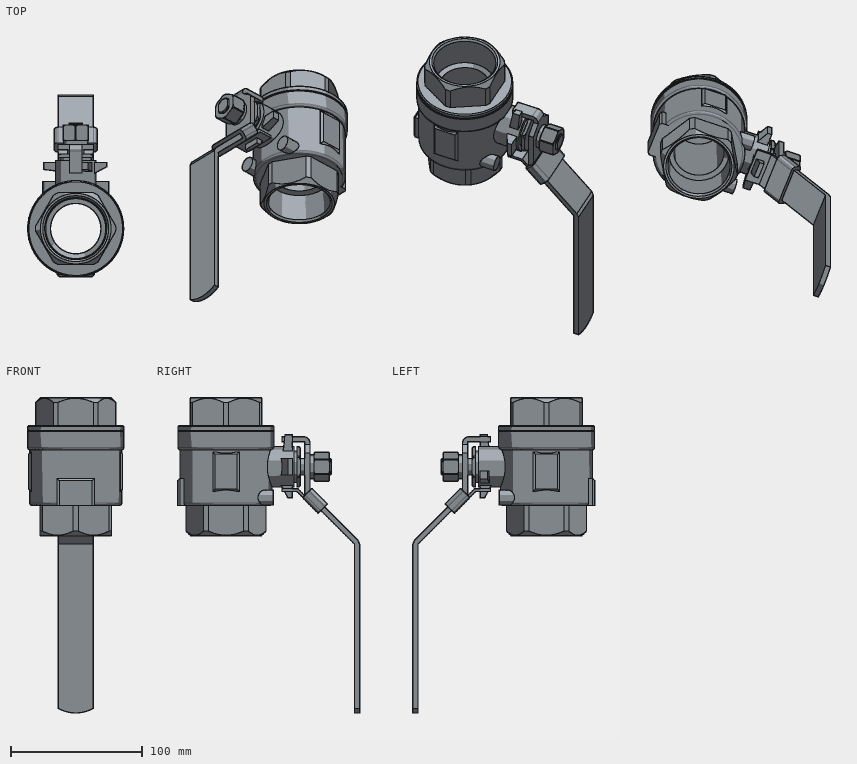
import cadquery as cq
import math


half_length = 52.5
flange_dia = 73.0
flange_top = 31.5
flange_bottom = 12.7
flange_top_chamfer = 1.0
flange_bottom_fillet = 2.0
seam_z = 27.0
seam_width = 0.7
seam_depth = 0.7
body_dia = 70.0
body_bottom = -29.5
body_bottom_fillet = 2.0
hex_half_pitch = 30
hex_flats = 54.7
hex_corner_dia = 61.0
hex_face_dia = 53.7
bore_dia = 38.0
thread_mouth_dia = 47.2
thread_root_dia = 45.5
thread_depth = 23.3
thread_chamfer = 1.5
seat_depth = 25.0

pad_chamfer = 1.7
side_pad_reach = 35.7
side_pad_width = 20.1
side_pad_top = 11.3
side_pad_bottom = -18.7
front_pad_reach = 36.7
front_pad_width = 28.3
front_pad_top = -8.9
pad_root = 27.5

boss_dia = 31.0
boss_end = 51.8
gland_dia = 24
gland_end = 54.0
gland_nut_flats = 26.8
gland_nut_end = 56.5
gland_nut_corner_dia = 30.5
gland_nut_chamfer = 1.0
stem_dia = 12.7
stem_flats = 10.0
stem_end = 80.0
stem_chamfer = 0.7
washer_dia = 18.5
washer_end = 67.0
nut_flats = 19.7
nut_end = 78.6
nut_corner_dia = 22.3
nut_chamfer = 0.7

square_lug_reach = 24.5
lug_root = 12
lug_top = 50.3
side_lug_near = 3.4
square_lug_tip_far = 9.3
square_lug_root_far = 12.5
square_lug_tip_depth = 5.5
square_lug_root_depth = 7.0
sloped_lug_width = 12.5
sloped_lug_reach = 23.7
sloped_lug_tip_depth = 3.4
sloped_lug_root_depth = 9.5

pin_dia = 11.5
pin_x = 19.5
pin_z = -23.5
pin_end = 36

handle_thickness = 4.0
handle_width = 26.8
handle_outer_y = 101.6
handle_bottom = -187.2
handle_end_rise = 3.5
plate_y = 61.8
plate_bend_z = -20.1
handle_slope = 45
tab_width = 9.5
tab_end_y = 42.5
tab_z = 20.9
tab_bend_radius = 5.0
grip_bend_chamfer = 2.0
shoulder_bottom = 10.3
shoulder_top = 16.8

slide_thickness = 2.2
slide_z = -17.7
slide_bend_y = 54.2
slide_slope_run = 8.2
sleeve_length = 16.8
sleeve_width = 32.8
sleeve_thickness = 10.0
sleeve_fillet = 2.9
sleeve_offset = 5.8


def cylinder_z(dia, bottom, top):
    return cq.Workplane("XY").workplane(offset=bottom).circle(dia / 2).extrude(top - bottom)


def cylinder_y(dia, start, end):
    """Round bar along +Y on the stem axis."""
    return cq.Workplane("XZ").workplane(offset=-start).circle(dia / 2).extrude(start - end)


def corners_of(flats):
    """Size across the corners of a hexagon with the given size across its flats."""
    return flats / math.cos(math.pi / 6)


def hex_bar_y(flats, start, end):
    """Hexagonal bar along +Y with corners pointing to +Z and -Z."""
    sketch = cq.Workplane("XZ").workplane(offset=-start).transformed(rotate=(0, 0, 90))
    return sketch.polygon(6, corners_of(flats)).extrude(start - end)


def turned_y(dia, start, end, chamfer):
    return cylinder_y(dia, start, end).faces(">Y").edges().chamfer(chamfer)


def end_hex(turn):
    """Wrench hexagon on the +Z end, corners rounded and outer face chamfered."""
    height = half_length - flange_bottom
    hexagon = cq.Workplane("XY").workplane(offset=flange_bottom).transformed(rotate=(0, 0, turn))
    hexagon = hexagon.polygon(6, corners_of(hex_flats)).extrude(height)
    envelope = cylinder_z(hex_corner_dia, flange_bottom, half_length)
    envelope = envelope.faces(">Z").edges().chamfer((hex_corner_dia - hex_face_dia) / 2)
    return hexagon.intersect(envelope)


def body_shell():
    flange = cylinder_z(flange_dia, flange_bottom, flange_top)
    flange = flange.faces(">Z").edges().chamfer(flange_top_chamfer)
    flange = flange.faces("<Z").edges().fillet(flange_bottom_fillet)
    seam_bottom = seam_z - seam_width / 2
    seam_top = seam_z + seam_width / 2
    seam_core = cylinder_z(flange_dia - 2 * seam_depth, seam_bottom, seam_top)
    seam = cylinder_z(flange_dia, seam_bottom, seam_top).cut(seam_core)
    barrel = cylinder_z(body_dia, body_bottom, flange_bottom)
    barrel = barrel.faces("<Z").edges().fillet(body_bottom_fillet)
    lower_hex = end_hex(hex_half_pitch).mirror("XY")
    return flange.cut(seam).union(barrel).union(end_hex(0)).union(lower_hex)


def side_pad():
    height = side_pad_top - side_pad_bottom
    pad = cq.Workplane("XY").box(side_pad_reach - pad_root, side_pad_width, height)
    pad = pad.faces(">X").edges().chamfer(pad_chamfer)
    return pad.translate(((side_pad_reach + pad_root) / 2, 0, side_pad_bottom + height / 2))


def front_pad():
    height = front_pad_top - body_bottom
    pad = cq.Workplane("XY").box(front_pad_width, front_pad_reach - pad_root, height)
    pad = pad.faces("<Y").edges("not(<Z)").chamfer(pad_chamfer)
    return pad.translate((0, -(front_pad_reach + pad_root) / 2, body_bottom + height / 2))


def flow_passage():
    """Through bore with a tapered pipe socket and conical seat at each end."""
    passage = cylinder_z(bore_dia, -half_length, half_length)
    socket = (
        cq.Workplane("XZ")
        .polyline([
            (0, half_length),
            (thread_mouth_dia / 2 + thread_chamfer, half_length),
            (thread_mouth_dia / 2, half_length - thread_chamfer),
            (thread_root_dia / 2, half_length - thread_depth),
            (bore_dia / 2, half_length - seat_depth),
            (0, half_length - seat_depth),
        ])
        .close().revolve(360, (0, 0, 0), (0, 1, 0))
    )
    return passage.union(socket).union(socket.mirror("XY"))


def stem_stack():
    boss = cylinder_y(boss_dia, bore_dia / 2, boss_end)
    gland = cylinder_y(gland_dia, boss_end, gland_end)
    gland_nut = hex_bar_y(gland_nut_flats, gland_end, gland_nut_end).intersect(
        turned_y(gland_nut_corner_dia, gland_end, gland_nut_end, gland_nut_chamfer)
    )
    shank = cylinder_y(stem_dia, gland_end, plate_y)
    flatted_length = stem_end - plate_y
    flats = cq.Workplane("XY").box(stem_flats, flatted_length, stem_dia)
    flats = flats.translate((0, plate_y + flatted_length / 2, 0))
    stem = turned_y(stem_dia, plate_y, stem_end, stem_chamfer).intersect(flats).union(shank)
    washer = cylinder_y(washer_dia, plate_y, washer_end)
    nut_blank = cylinder_y(nut_corner_dia, washer_end, nut_end)
    nut_blank = nut_blank.faces("<Y or >Y").edges().chamfer(nut_chamfer)
    nut = hex_bar_y(nut_flats, washer_end, nut_end).intersect(nut_blank)
    return boss.union(gland).union(gland_nut).union(stem).union(washer).union(nut)


def stop_lug(reach, near, tip_far, root_far, tip_depth, root_depth):
    """Lug pointing to +Z from X = near to the far side, tapering toward its tip."""
    side = (
        cq.Workplane("YZ")
        .polyline([
            (lug_top, lug_root),
            (lug_top, reach),
            (lug_top - tip_depth, reach),
            (lug_top - root_depth, lug_root),
        ])
        .close().extrude(boss_dia / 2, both=True)
    )
    face = (
        cq.Workplane("XZ")
        .polyline([
            (near, lug_root),
            (near, reach),
            (tip_far, reach),
            (root_far, lug_root),
        ])
        .close().extrude(-lug_top)
    )
    return side.intersect(face)


def square_lug(near):
    return stop_lug(
        square_lug_reach, near, square_lug_tip_far, square_lug_root_far,
        square_lug_tip_depth, square_lug_root_depth,
    )


def stop_lugs():
    half_width = sloped_lug_width / 2
    sloped_lug = stop_lug(
        sloped_lug_reach, -half_width, half_width, half_width,
        sloped_lug_tip_depth, sloped_lug_root_depth,
    )
    stem_axis = ((0, 0, 0), (0, 1, 0))
    return (
        square_lug(tab_width / 2)
        .union(square_lug(side_lug_near).mirror("YZ").rotate(*stem_axis, -90))
        .union(sloped_lug.mirror("XY"))
        .union(sloped_lug.rotate(*stem_axis, 90))
    )


def bent_strip(path, thickness, width):
    """Strip of constant thickness around a (Y, Z) centre path with mitred bends."""
    angles = [math.atan2(b[1] - a[1], b[0] - a[0]) for a, b in zip(path, path[1:])]
    left, right = [], []
    for index, (y, z) in enumerate(path):
        before = angles[max(index - 1, 0)]
        after = angles[min(index, len(angles) - 1)]
        half_turn = (after - before) / 2
        mitre = thickness / 2 / math.cos(half_turn)
        normal = before + half_turn + math.pi / 2
        step_y = mitre * math.cos(normal)
        step_z = mitre * math.sin(normal)
        left.append((y + step_y, z + step_z))
        right.append((y - step_y, z - step_z))
    outline = cq.Workplane("YZ").polyline(left + right[::-1]).close()
    return outline.extrude(width / 2, both=True)


def handle():
    grip_y = handle_outer_y - handle_thickness / 2
    grip_bend_z = plate_bend_z - (grip_y - plate_y) * math.tan(math.radians(handle_slope))
    path = [
        (grip_y, handle_bottom),
        (grip_y, grip_bend_z),
        (plate_y, plate_bend_z),
        (plate_y, tab_z),
        (tab_end_y, tab_z),
    ]
    strip = bent_strip(path, handle_thickness, handle_width)
    half_thickness = handle_thickness / 2
    tab_corner = (0, plate_y + half_thickness, tab_z + half_thickness)
    tab_bend = cq.selectors.NearestToPointSelector(tab_corner)
    strip = strip.edges("|X").edges(tab_bend).fillet(tab_bend_radius)
    grip_corner = (0, handle_outer_y, grip_bend_z)
    grip_bend = cq.selectors.NearestToPointSelector(grip_corner)
    strip = strip.edges("|X").edges(grip_bend).chamfer(grip_bend_chamfer)
    half_width = handle_width / 2
    half_tab = tab_width / 2
    top = tab_z + handle_thickness
    outline = (
        cq.Workplane("XZ")
        .moveTo(-half_width, handle_bottom + handle_end_rise)
        .threePointArc((0, handle_bottom), (half_width, handle_bottom + handle_end_rise))
        .lineTo(half_width, shoulder_bottom)
        .lineTo(half_tab, shoulder_top)
        .lineTo(half_tab, top)
        .lineTo(-half_tab, top)
        .lineTo(-half_tab, shoulder_top)
        .lineTo(-half_width, shoulder_bottom)
        .close().extrude(-handle_outer_y)
    )
    return strip.intersect(outline)


def locking_slide():
    path = [
        (tab_end_y, slide_z),
        (slide_bend_y, slide_z),
        (slide_bend_y + slide_slope_run, slide_z - slide_slope_run),
    ]
    slide = bent_strip(path, slide_thickness, handle_width)
    sleeve = cq.Workplane("XY").box(sleeve_width, sleeve_length, sleeve_thickness)
    sleeve = sleeve.edges("|Y").fillet(sleeve_fillet)
    sleeve = sleeve.rotate((0, 0, 0), (1, 0, 0), -handle_slope)
    sleeve = sleeve.translate((0, plate_y + sleeve_offset, plate_bend_z - sleeve_offset))
    return slide.union(sleeve)


result = body_shell().union(front_pad()).union(stem_stack())
for side in (-1, 1):
    pad = side_pad()
    if side < 0:
        pad = pad.mirror("YZ")
    pin = cylinder_y(pin_dia, 0, pin_end).translate((side * pin_x, 0, pin_z))
    result = result.union(pad).union(pin)
result = result.cut(flow_passage())
result = result.union(stop_lugs()).union(handle()).union(locking_slide())